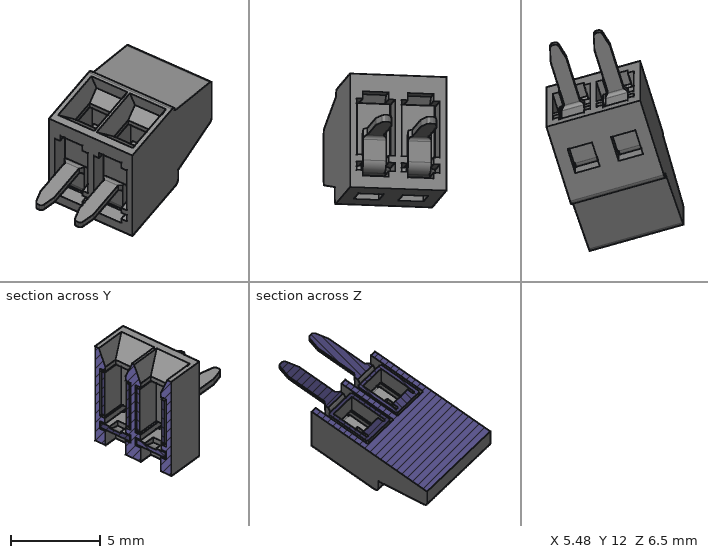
import cadquery as cq
import math


OVERALL_LENGTH = 12

HOUSING_WIDTH = 5.48
HOUSING_DEPTH = 8.51
HOUSING_HEIGHT = 6.5
EDGE_RADIUS = 0.3
UPPER_STEP_Y = 4.55
UPPER_STEP_Z = 6.12
LOWER_STEP_Y = 4.91
LOWER_STEP_Z = 1.02
BACK_TOP_Z = 5.04
BACK_BOTTOM_Z = 1.88

WIRE_PITCH = 2.53
FUNNEL_WIDTH = 2.36
FUNNEL_FRONT_Y = 0.5
FUNNEL_BACK_Y = 4.05
FUNNEL_DEPTH = 1.09
BACK_WALL_DEPTH = 0.77
WIRE_HOLE_WIDTH = 1.43
WIRE_HOLE_FRONT_Y = 1.62
WIRE_HOLE_BACK_Y = 3.11

CAGE_WIDTH = 2.02
CAGE_BOTTOM_Z = 1.99
CAGE_TOP_Z = 4.99
CAGE_FRONT_Y = 0.82
CAGE_WALL = 0.24
CAGE_CORNER = 0.1
CAVITY_CLEARANCE = 0.11

CONTACT_PITCH = 2.55
SHEET = 0.4
INNER_BEND = 0.2
OUTER_BEND = INNER_BEND + SHEET
STRIP_WIDTH = 1.31
PLATE_FRONT_Y = 0.31
PLATE_BACK_Y = PLATE_FRONT_Y + SHEET
PIN_TOP_Z = 3.45
PIN_WIDTH = 0.91
PIN_ROOT_Y = PLATE_FRONT_Y - INNER_BEND
PIN_LENGTH = OVERALL_LENGTH - HOUSING_DEPTH
TIP_WIDTH = 0.43
TIP_TAPER = 0.95
TIP_RADIUS = 0.22
LEG_BOTTOM_Z = 1.05
LEG_TOP_Z = LEG_BOTTOM_Z + SHEET
LEG_WIDTH = 2.1
LEG_FLARE_Y = PLATE_FRONT_Y + OUTER_BEND
LEG_END_Y = 2.89
BACK_PLATE_Y = LEG_END_Y + INNER_BEND
CAGE_BACK_Y = BACK_PLATE_Y + SHEET + CAGE_WALL
DIMPLE_SIZE = 0.8
DIMPLE_FRONT_Y = 1.8
DIMPLE_RADIUS = 1.38
DIMPLE_AXIS_Y = 1.73
DIMPLE_DEPTH = 0.35

CAVITY_WIDTH = 2.18
CAVITY_BOTTOM_Z = CAGE_BOTTOM_Z - CAVITY_CLEARANCE
CAVITY_TOP_Z = CAGE_TOP_Z + CAVITY_CLEARANCE
CAVITY_BACK_Y = CAGE_BACK_Y + CAVITY_CLEARANCE
NECK_WIDTH = 1.46
LEG_SLOT_BOTTOM_Z = 1.0
LEG_SLOT_TOP_Z = 1.49
MOUTH_BOTTOM_Z = 0.67
MOUTH_TOP_Z = 5.51
MOUTH_DEPTH = 0.82
TOP_RAMP_ANGLE = 45
BOTTOM_RAMP_ANGLE = 30


def box(x, width, y_front, y_back, z_bottom, z_top):
    """Box centred at x, between the given Y and Z limits."""
    size = (width, y_back - y_front, z_top - z_bottom)
    return cq.Workplane("XY").box(*size, centered=(True, False, False)).translate((x, y_front, z_bottom))


def side_prism(points, x, width):
    """Prism along X, centred at x, from a closed Y-Z outline."""
    return cq.Workplane("YZ").polyline(points).close().extrude(width / 2, both=True).translate((x, 0, 0))


def housing_shell():
    outline = [
        (0, 0),
        (LOWER_STEP_Y, 0),
        (LOWER_STEP_Y, LOWER_STEP_Z),
        (HOUSING_DEPTH, BACK_BOTTOM_Z),
        (HOUSING_DEPTH, BACK_TOP_Z),
        (UPPER_STEP_Y, UPPER_STEP_Z),
        (UPPER_STEP_Y, HOUSING_HEIGHT),
        (0, HOUSING_HEIGHT),
    ]
    shell = side_prism(outline, 0, HOUSING_WIDTH)
    rounded_corners = [outline[1], outline[3], outline[4], outline[6]]
    for y, z in rounded_corners:
        edge = cq.selectors.NearestToPointSelector((0, y, z))
        shell = shell.edges("|X").edges(edge).fillet(EDGE_RADIUS)
    return shell


def wire_funnel(x):
    """Funnel with sloping sides and front, narrowing to a wire hole that runs through the housing."""
    floor_z = HOUSING_HEIGHT - FUNNEL_DEPTH
    side_outline = [
        (FUNNEL_FRONT_Y, HOUSING_HEIGHT),
        (WIRE_HOLE_FRONT_Y, floor_z),
        (WIRE_HOLE_BACK_Y, floor_z),
        (FUNNEL_BACK_Y, HOUSING_HEIGHT - BACK_WALL_DEPTH),
        (FUNNEL_BACK_Y, HOUSING_HEIGHT),
    ]
    front_outline = [
        (-FUNNEL_WIDTH / 2, HOUSING_HEIGHT),
        (-WIRE_HOLE_WIDTH / 2, floor_z),
        (WIRE_HOLE_WIDTH / 2, floor_z),
        (FUNNEL_WIDTH / 2, HOUSING_HEIGHT),
    ]
    flanks = cq.Workplane("XZ").polyline(front_outline).close().extrude(-HOUSING_DEPTH)
    funnel = side_prism(side_outline, 0, FUNNEL_WIDTH).intersect(flanks)
    hole = box(0, WIRE_HOLE_WIDTH, WIRE_HOLE_FRONT_Y, WIRE_HOLE_BACK_Y, 0, floor_z)
    return funnel.union(hole).translate((x, 0, 0))


def contact_cavity(x):
    """Cage chamber, leg slot and the neck between them, with a lead-in above and below the mouth."""
    chamber = box(x, CAVITY_WIDTH, 0, CAVITY_BACK_Y, CAVITY_BOTTOM_Z, CAVITY_TOP_Z)
    leg_slot = box(x, CAVITY_WIDTH, 0, CAVITY_BACK_Y, LEG_SLOT_BOTTOM_Z, LEG_SLOT_TOP_Z)
    top_ramp_y = MOUTH_DEPTH + (MOUTH_TOP_Z - CAVITY_TOP_Z) / math.tan(math.radians(TOP_RAMP_ANGLE))
    bottom_ramp_rise = LEG_SLOT_BOTTOM_Z - MOUTH_BOTTOM_Z
    bottom_ramp_y = MOUTH_DEPTH + bottom_ramp_rise / math.tan(math.radians(BOTTOM_RAMP_ANGLE))
    mouth_outline = [
        (0, MOUTH_BOTTOM_Z),
        (MOUTH_DEPTH, MOUTH_BOTTOM_Z),
        (bottom_ramp_y, LEG_SLOT_BOTTOM_Z),
        (CAVITY_BACK_Y, LEG_SLOT_BOTTOM_Z),
        (CAVITY_BACK_Y, CAVITY_TOP_Z),
        (top_ramp_y, CAVITY_TOP_Z),
        (MOUTH_DEPTH, MOUTH_TOP_Z),
        (0, MOUTH_TOP_Z),
    ]
    neck_and_lead_ins = side_prism(mouth_outline, x, NECK_WIDTH)
    return chamber.union(leg_slot).union(neck_and_lead_ins)


def bent_strip():
    """Side shape of the bent sheet: pin, front plate, leg and upturned back plate."""
    arc_mid = math.sqrt(0.5)
    pin_bend_y = PIN_ROOT_Y
    pin_bend_z = PIN_TOP_Z - OUTER_BEND
    leg_bend_z = LEG_BOTTOM_Z + OUTER_BEND

    def arc_point(center_y, center_z, radius, y_side, z_side):
        return (center_y + y_side * radius * arc_mid, center_z + z_side * radius * arc_mid)

    return (
        cq.Workplane("YZ")
        .moveTo(-PIN_LENGTH, PIN_TOP_Z)
        .lineTo(pin_bend_y, PIN_TOP_Z)
        .threePointArc(arc_point(pin_bend_y, pin_bend_z, OUTER_BEND, 1, 1), (PLATE_BACK_Y, pin_bend_z))
        .lineTo(PLATE_BACK_Y, leg_bend_z)
        .threePointArc(arc_point(LEG_FLARE_Y, leg_bend_z, INNER_BEND, -1, -1), (LEG_FLARE_Y, LEG_TOP_Z))
        .lineTo(LEG_END_Y, LEG_TOP_Z)
        .threePointArc(arc_point(LEG_END_Y, leg_bend_z, INNER_BEND, 1, -1), (BACK_PLATE_Y, leg_bend_z))
        .lineTo(BACK_PLATE_Y, PIN_TOP_Z)
        .lineTo(BACK_PLATE_Y + SHEET, PIN_TOP_Z)
        .lineTo(BACK_PLATE_Y + SHEET, leg_bend_z)
        .threePointArc(arc_point(LEG_END_Y, leg_bend_z, OUTER_BEND, 1, -1), (LEG_END_Y, LEG_BOTTOM_Z))
        .lineTo(LEG_FLARE_Y, LEG_BOTTOM_Z)
        .threePointArc(arc_point(LEG_FLARE_Y, leg_bend_z, OUTER_BEND, -1, -1), (PLATE_FRONT_Y, leg_bend_z))
        .lineTo(PLATE_FRONT_Y, pin_bend_z)
        .threePointArc(
            arc_point(pin_bend_y, pin_bend_z, INNER_BEND, 1, 1),
            (pin_bend_y, PIN_TOP_Z - SHEET),
        )
        .lineTo(-PIN_LENGTH, PIN_TOP_Z - SHEET)
        .close()
        .extrude(STRIP_WIDTH / 2, both=True)
    )


def strip_plan():
    """Plan outline of the strip: tapered pin with a 45 degree flare at its root."""
    flare = (STRIP_WIDTH - PIN_WIDTH) / 2
    tip_start_y = TIP_TAPER - PIN_LENGTH
    right_side = [
        (TIP_WIDTH / 2, -PIN_LENGTH),
        (PIN_WIDTH / 2, tip_start_y),
        (PIN_WIDTH / 2, PIN_ROOT_Y),
        (STRIP_WIDTH / 2, PIN_ROOT_Y + flare),
        (STRIP_WIDTH / 2, HOUSING_DEPTH),
    ]
    left_side = [(-x, y) for x, y in reversed(right_side)]
    plan = cq.Workplane("XY").polyline(right_side + left_side).close().extrude(HOUSING_HEIGHT)
    return plan.faces("<Y").edges("|Z").fillet(TIP_RADIUS)


def wide_leg():
    """Shoulders that widen the leg, with 45 degree flares at the front."""
    flare = (LEG_WIDTH - STRIP_WIDTH) / 2
    right_side = [
        (STRIP_WIDTH / 2, LEG_FLARE_Y),
        (LEG_WIDTH / 2, LEG_FLARE_Y + flare),
        (LEG_WIDTH / 2, LEG_END_Y),
    ]
    left_side = [(-x, y) for x, y in reversed(right_side)]
    leg = cq.Workplane("XY").polyline(right_side + left_side).close().extrude(SHEET)
    return leg.translate((0, 0, LEG_BOTTOM_Z))


def leg_dimple():
    """Square pocket in the leg whose floor is part of a cylinder along X."""
    dimple_floor_z = LEG_TOP_Z - DIMPLE_DEPTH
    square = box(0, DIMPLE_SIZE, DIMPLE_FRONT_Y, DIMPLE_FRONT_Y + DIMPLE_SIZE, dimple_floor_z, LEG_TOP_Z)
    cylinder = (
        cq.Workplane("YZ")
        .center(DIMPLE_AXIS_Y, dimple_floor_z + DIMPLE_RADIUS)
        .circle(DIMPLE_RADIUS)
        .extrude(HOUSING_WIDTH, both=True)
    )
    return square.intersect(cylinder)


def wire_cage(x):
    """Upright square sleeve fixed to the outer face of the back plate, open at top and bottom."""
    cage = box(x, CAGE_WIDTH, CAGE_FRONT_Y, CAGE_BACK_Y, CAGE_BOTTOM_Z, CAGE_TOP_Z)
    cage = cage.edges("|Z").chamfer(CAGE_CORNER)
    window = box(
        x,
        CAGE_WIDTH - 2 * CAGE_WALL,
        CAGE_FRONT_Y + CAGE_WALL,
        CAGE_BACK_Y - CAGE_WALL,
        CAGE_BOTTOM_Z,
        CAGE_TOP_Z,
    )
    return cage.cut(window)


def make_housing():
    housing = housing_shell()
    for side in (-1, 1):
        housing = housing.cut(wire_funnel(side * WIRE_PITCH / 2))
        housing = housing.cut(contact_cavity(side * CONTACT_PITCH / 2))
    return housing


def make_contact(side):
    strip = bent_strip().intersect(strip_plan()).union(wide_leg()).cut(leg_dimple())
    strip = strip.translate((side * CONTACT_PITCH / 2, 0, 0))
    return strip.union(wire_cage(side * WIRE_PITCH / 2))


housing = make_housing()
contacts = [make_contact(side).val() for side in (-1, 1)]

result = cq.Compound.makeCompound([housing.val(), *contacts])